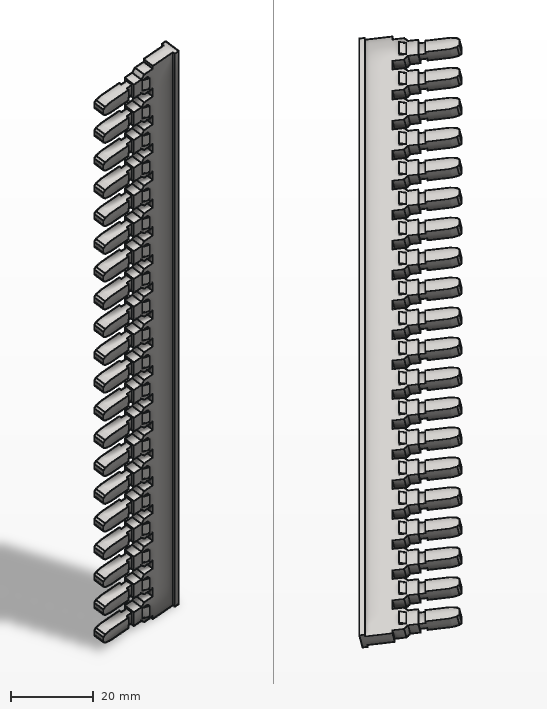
import cadquery as cq


length = 191.0
full_width = 4.5
body_width = 3.2
depth = 24.5
prong_count = 20
end_margin = 4.4

lip_depth = 1.3
spine_depth = 8.0

root_end = 10.9
collar_start = 11.8
collar_end = 14.3
blade_start = 16.0
tip_start = 22.2
nose_start = 23.9

root_height = 6.9
collar_height = 4.8
blade_height = 3.6
tip_height = 2.9
nose_height = 1.7

neck_width = 2.0

barb_start = 9.7
barb_end = 11.5
barb_height = 3.6

pitch = (length - 2 * end_margin) / (prong_count - 1)
back = depth / 2


def centred_box(width, near, far, height):
    """Box centred on X and Z, from `near` to `far` in front of the back face."""
    return cq.Workplane("XY").box(width, far - near, height).translate((0, back - (near + far) / 2, 0))


def make_spine():
    body = centred_box(body_width, 0, spine_depth, length)
    lip = centred_box(full_width, 0, lip_depth, length)
    return body.union(lip)


def make_prong_body():
    """Plate stepped from root to collar to blade with a two-step tapered tip, starting inside the spine."""
    upper_edge = [
        (lip_depth, root_height),
        (root_end, root_height),
        (collar_start, collar_height),
        (collar_end, collar_height),
        (collar_end, blade_height),
        (tip_start, blade_height),
        (nose_start, tip_height),
        (depth, nose_height),
    ]
    upper = [(back - distance, height / 2) for distance, height in upper_edge]
    lower = [(y, -z) for y, z in reversed(upper)]
    return cq.Workplane("YZ").polyline(upper + lower).close().extrude(body_width / 2, both=True)


def make_barbs():
    """Wedges that stand out squarely at the back and slope down toward the tip."""
    outline = [
        (-full_width / 2, back - barb_start),
        (full_width / 2, back - barb_start),
        (body_width / 2, back - barb_end),
        (-body_width / 2, back - barb_end),
    ]
    return cq.Workplane("XY").polyline(outline).close().extrude(barb_height / 2, both=True)


def make_prong():
    neck_block = centred_box(full_width, collar_end, blade_start, root_height)
    neck_core = centred_box(neck_width, collar_end, blade_start, root_height)
    neck_cut = neck_block.cut(neck_core)
    return make_prong_body().cut(neck_cut).union(make_barbs())


prong = make_prong()
result = make_spine()
for index in range(prong_count):
    height = (index - (prong_count - 1) / 2) * pitch
    result = result.union(prong.translate((0, 0, height)))